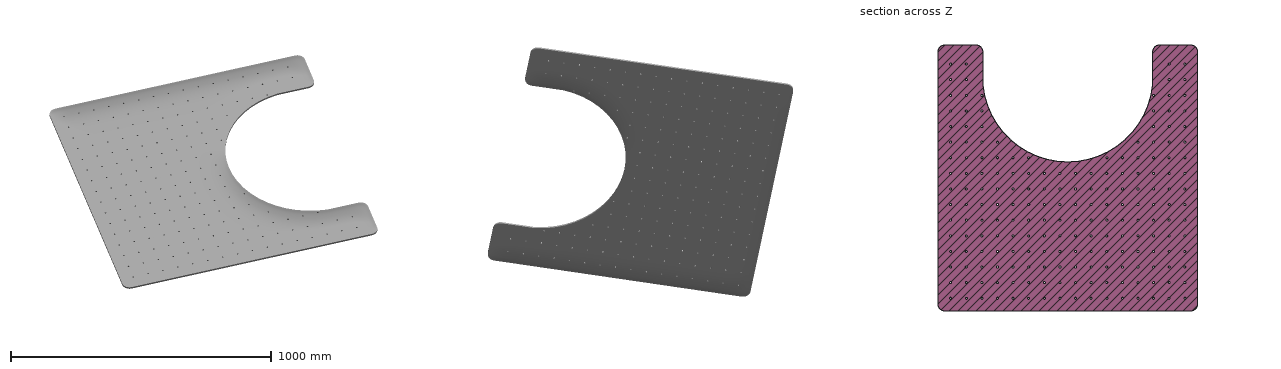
import cadquery as cq
import math

width = 1000.0
length = 1025.0
thickness = 8.0
corner_radius = 30.0

notch_width = 650.0
notch_depth = 450.0
notch_side_length = 155.0
notch_half_width = notch_width / 2
notch_bottom_y = length / 2 - notch_depth
arc_end_y = length / 2 - notch_side_length
arc_height = notch_depth - notch_side_length
arc_radius = (notch_half_width**2 + arc_height**2) / (2 * arc_height)
arc_center_y = notch_bottom_y + arc_radius

hole_diameter = 6.0
holes_per_side = 16
edge_to_hole = 50.0
hole_pitch = (width - 2 * edge_to_hole) / (holes_per_side - 1)
min_hole_to_notch = 10.0


def make_plate():
    """Plate with the notch cut out and the corners at both ends rounded."""
    half_width = width / 2
    half_length = length / 2
    outline = (
        cq.Workplane("XY")
        .moveTo(-half_width, -half_length)
        .lineTo(half_width, -half_length)
        .lineTo(half_width, half_length)
        .lineTo(notch_half_width, half_length)
        .lineTo(notch_half_width, arc_end_y)
        .threePointArc((0, notch_bottom_y), (-notch_half_width, arc_end_y))
        .lineTo(-notch_half_width, half_length)
        .lineTo(-half_width, half_length)
        .close()
    )
    plate = outline.extrude(thickness)
    end_corners = plate.faces("<Y or >Y").edges("|Z")
    return end_corners.fillet(corner_radius)


def distance_to_notch(x, y):
    """Distance from a point to the notch edge; negative inside the notch."""
    if y > arc_end_y:
        return abs(x) - notch_half_width
    return math.hypot(x, y - arc_center_y) - arc_radius


def hole_centers():
    """Grid places that keep clear of the notch."""
    first_x = -width / 2 + edge_to_hole
    first_y = -length / 2 + edge_to_hole
    centers = []
    for row in range(holes_per_side):
        for column in range(holes_per_side):
            x = first_x + column * hole_pitch
            y = first_y + row * hole_pitch
            if distance_to_notch(x, y) >= min_hole_to_notch:
                centers.append((x, y))
    return centers


def make_drills():
    """Cylinders that cut the grid of through holes."""
    return cq.Workplane("XY").pushPoints(hole_centers()).circle(hole_diameter / 2).extrude(thickness)


result = make_plate().cut(make_drills())